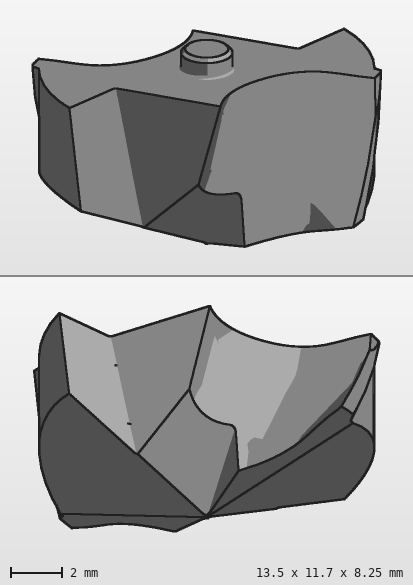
import cadquery as cq
import math

margin_radius = 6.75
body_radius = 6.5
point_depth = 7.41
blank_depth = 8.1
far = 20.25
overlap = 0.14
step_overlap = 0.01

twist_rate = 4.815
blank_twist = twist_rate * blank_depth

margin_start = 5.0
margin_end = 21.2
margin_step_end = 23.3

flute_lip = (6.35, 1.69)
flute_curve = [(5.17, 1.57), (4.18, 1.43), (3.21, 0.9), (2.43, 0.0), (1.81, -1.45), (1.89, -3.1)]

core_half_width = 3.09
notch_root_x = 2.55
rake_slope = 0.369
rake_lean = 0.19
core_lean = 0.017
notch_fillet = 0.14

relief_slope = (-0.348, -0.393)
heel_slope = (0.348, 0.0)
gash_slope = (0.955, -0.992)
gash_wall_direction = (13.8, -8.2)
gash_fillet = 0.3

trim_back_x = 6.35
trim_front_x = 6.65
trim_depth = 1.19

pin_radius = 1.0
pin_height = 0.84
pin_chamfer = 0.16
pin_root_fillet = 0.14


def half_turn(shape):
    return shape.rotate((0, 0, 0), (0, 0, 1), 180)


def cut_twice(body, cutter):
    return body.cut(cutter).cut(half_turn(cutter))


def polar(radius, degrees):
    angle = math.radians(degrees)
    return (radius * math.cos(angle), radius * math.sin(angle))


def sweep_base():
    """Workplane at the bottom of the blank, turned so the twisted sweep ends aligned with X."""
    turned = polar(1, -blank_twist)
    return cq.Workplane(cq.Plane(origin=(0, 0, -blank_depth), xDir=(*turned, 0), normal=(0, 0, 1)))


def make_margin():
    middle = (margin_start + margin_end) / 2
    inner_radius = body_radius / 2
    return (
        sweep_base()
        .moveTo(*polar(inner_radius, margin_start))
        .lineTo(*polar(margin_radius, margin_start))
        .threePointArc(polar(margin_radius, middle), polar(margin_radius, margin_end))
        .lineTo(*polar(body_radius - step_overlap, margin_step_end))
        .lineTo(*polar(inner_radius, margin_step_end))
        .close()
        .twistExtrude(blank_depth, blank_twist)
    )


def make_flute():
    core_x = flute_curve[-1][0]
    return (
        sweep_base()
        .moveTo(*flute_lip)
        .spline(flute_curve, includeCurrent=True)
        .lineTo(core_x, -far / 2)
        .lineTo(far / 2, -far / 2)
        .lineTo(far / 2, flute_lip[1])
        .close()
        .twistExtrude(blank_depth, blank_twist)
    )


def make_rake_notch():
    def outline(depth):
        root_x = notch_root_x - rake_lean * depth
        root_y = core_half_width - core_lean * depth
        points = [
            (root_x, root_y),
            (root_x + rake_slope * far, root_y + far),
            (root_x - far, root_y + far),
            (root_x - far, root_y),
        ]
        return cq.Wire.makePolygon([cq.Vector(x, y, -depth) for x, y in points], close=True)

    notch = cq.Workplane(cq.Solid.makeLoft([outline(0), outline(blank_depth)], True))
    root = cq.selectors.NearestToPointSelector(
        (
            notch_root_x - rake_lean * blank_depth / 2,
            core_half_width - core_lean * blank_depth / 2,
            -blank_depth / 2,
        )
    )
    return notch.edges(root).fillet(notch_fillet)


def below_facet(slope):
    """Everything below a plane through the drill tip."""
    normal = (-slope[0], -slope[1], 1)
    plane = cq.Plane(origin=(0, 0, -point_depth), normal=normal)
    return cq.Workplane(plane).rect(2 * far, 2 * far).extrude(-far)


def quadrant(x_side):
    """The y < 0 quarter of space on the chosen side of x = 0."""
    return cq.Workplane("XY").box(far, far, 4 * far).translate((x_side * far / 2, -far / 2, 0))


def make_gash():
    wall_angle = math.degrees(math.atan2(gash_wall_direction[1], gash_wall_direction[0]))
    wall_side = (
        cq.Workplane("XY")
        .box(2 * far, far, 4 * far)
        .translate((0, -far / 2, 0))
        .rotate((0, 0, 0), (0, 0, 1), wall_angle)
    )
    gash = below_facet(gash_slope).intersect(wall_side)
    wall_x, wall_y = gash_wall_direction
    rise = gash_slope[0] * wall_x + gash_slope[1] * wall_y
    root = cq.selectors.ParallelDirSelector(cq.Vector(wall_x, wall_y, rise))
    tip = cq.selectors.NearestToPointSelector((0, 0, -point_depth))
    return gash.edges(root).edges(tip).fillet(gash_fillet)


def make_margin_trim():
    outside = margin_radius + overlap
    outline = [
        (trim_back_x, 0),
        (outside, 0),
        (outside, -trim_depth),
        (trim_front_x, -trim_depth),
    ]
    return (
        cq.Workplane("XZ")
        .polyline(outline)
        .close()
        .extrude(-margin_radius)
    )


def make_pin():
    root_radius = pin_radius + pin_root_fillet
    arc_offset = pin_root_fillet * (1 - math.sqrt(0.5))
    return (
        cq.Workplane("XZ")
        .moveTo(0, -overlap)
        .lineTo(root_radius, -overlap)
        .lineTo(root_radius, 0)
        .threePointArc((pin_radius + arc_offset, arc_offset), (pin_radius, pin_root_fillet))
        .lineTo(pin_radius, pin_height - pin_chamfer)
        .lineTo(pin_radius - pin_chamfer, pin_height)
        .lineTo(0, pin_height)
        .close()
        .revolve(360, (0, 0, 0), (0, 1, 0))
    )


margin = make_margin()
head = cq.Workplane("XY").circle(body_radius).extrude(-blank_depth)
head = head.union(margin).union(half_turn(margin))
head = cut_twice(head, make_flute())
head = cut_twice(head, make_rake_notch())
head = cut_twice(head, below_facet(relief_slope).intersect(quadrant(-1)))
head = cut_twice(head, below_facet(heel_slope).intersect(quadrant(1)))
head = cut_twice(head, make_gash())
head = cut_twice(head, make_margin_trim())
result = head.union(make_pin())